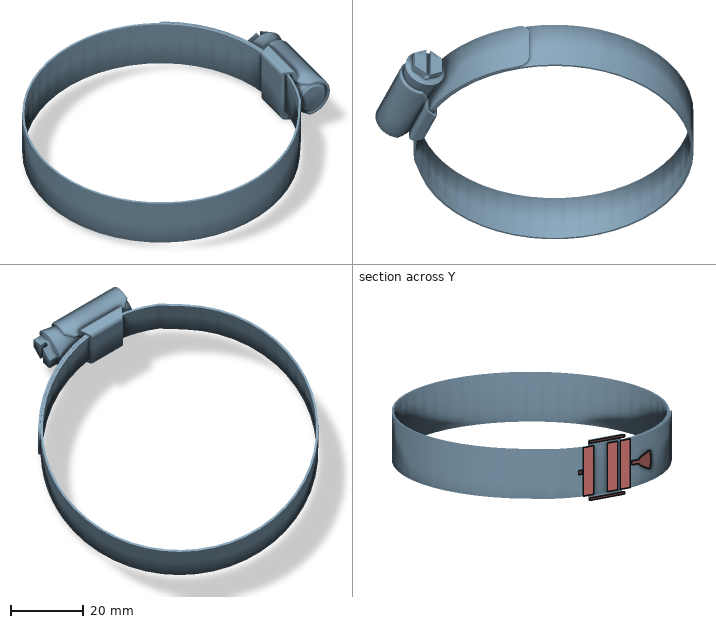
import cadquery as cq
import math


band_radius = 38.53
band_thickness = 0.6
band_width = 14.2
tail_gap = 0.05
tail_inside = band_radius + tail_gap
tail_radius = tail_inside + band_thickness
inner_end_angle = 90
tail_tip_angle = 150
seam_angle = 180
step_start_angle = 65.3
step_end_angle = 54.6
tip_corner_radius = 2.9

screw_axis_y = 43.28
arch_radius = 5.92
sheet = 0.8
housing_length = 21.0
strap_top_y = 40.3
strap_bottom_y = 36.4
strap_width = 17.3
strap_corner_radius = 1.1
arch_rim_fillet = 0.6
strap_top_half_length = 7.05
strap_bottom_half_length = 5.0
arch_end_y = 42.5
arch_foot_y = 40.6
arch_foot_half_length = 8.4
edge_margin = 0.05

worm_radius = 5.0
worm_end_chamfer = 1.0
collar_radius = 5.7
collar_front_x = -15.05
collar_rim_x = -14.35
hex_front_x = -17.4
hex_across_flats = 8.0
slot_width = 1.3
slot_depth = 1.8


def polar(radius, angle):
    a = math.radians(angle)
    return (radius * math.cos(a), radius * math.sin(a))


def add_arc(path, radius, start, end):
    """Continue the path around the clamp axis from the start angle to the end angle."""
    return path.threePointArc(polar(radius, (start + end) / 2), polar(radius, end))


def make_band():
    main_inside = band_radius - band_thickness
    step_end = step_end_angle + 360
    main_end = inner_end_angle

    path = cq.Workplane("XY").workplane(offset=-band_width / 2).moveTo(*polar(tail_radius, tail_tip_angle))
    path = add_arc(path, tail_radius, tail_tip_angle, step_start_angle)
    path = path.lineTo(*polar(band_radius, step_end_angle))
    path = add_arc(path, band_radius, step_end, seam_angle)
    path = add_arc(path, band_radius, seam_angle, main_end)
    path = path.lineTo(*polar(main_inside, main_end))
    path = add_arc(path, main_inside, main_end, seam_angle)
    path = add_arc(path, main_inside, seam_angle, step_end)
    path = path.lineTo(*polar(tail_inside, step_start_angle))
    path = add_arc(path, tail_inside, step_start_angle, tail_tip_angle)
    strip = path.close().extrude(band_width)

    tip = polar(tail_radius - band_thickness / 2, tail_tip_angle)
    short_edges = strip.faces(cq.selectors.NearestToPointSelector((*tip, 0))).edges("not |Z")
    return short_edges.fillet(tip_corner_radius)


def make_housing():
    strap_height = strap_top_y - strap_bottom_y
    strap_middle_y = (strap_top_y + strap_bottom_y) / 2
    bore_radius = arch_radius - sheet

    def sheet_cylinder(radius):
        return cq.Workplane("YZ").center(screw_axis_y, 0).circle(radius).extrude(housing_length / 2, both=True)

    def strap_block(height, width, corner_radius):
        block = cq.Workplane("YZ").center(strap_middle_y, 0).rect(height, width)
        return block.extrude(housing_length / 2, both=True).edges("|X").fillet(corner_radius)

    outside = sheet_cylinder(arch_radius).union(strap_block(strap_height, strap_width, strap_corner_radius))
    inner_height = strap_height - 2 * sheet
    inner_width = strap_width - 2 * sheet
    inside = sheet_cylinder(bore_radius).union(
        strap_block(inner_height, inner_width, strap_corner_radius - sheet)
    )
    housing = outside.cut(inside)

    half_length = housing_length / 2
    below = strap_bottom_y - strap_height
    taper = (
        cq.Workplane("XY")
        .workplane(offset=-strap_width)
        .moveTo(half_length, arch_end_y)
        .lineTo(arch_foot_half_length, arch_foot_y)
        .lineTo(strap_top_half_length, strap_top_y)
        .lineTo(strap_bottom_half_length, strap_bottom_y)
        .lineTo(strap_bottom_half_length, below)
        .lineTo(half_length, below)
        .close()
        .extrude(2 * strap_width)
    )
    housing = housing.cut(taper).cut(taper.mirror("YZ"))

    def is_rim(edge):
        point = edge.positionAt(0.5)
        distance = math.hypot(point.y - screw_axis_y, point.z)
        on_arch_surface = abs(distance - arch_radius) < edge_margin
        return on_arch_surface and abs(point.x) > arch_foot_half_length

    rims = [edge for edge in housing.edges().vals() if is_rim(edge)]
    return housing.newObject(rims).fillet(arch_rim_fillet)


def make_screw():
    half_length = housing_length / 2
    turned = (
        cq.Workplane("XY")
        .moveTo(collar_front_x, 0)
        .lineTo(collar_front_x, hex_across_flats / 2)
        .lineTo(collar_rim_x, collar_radius)
        .lineTo(-half_length, worm_radius)
        .lineTo(half_length - worm_end_chamfer, worm_radius)
        .lineTo(half_length, worm_radius - worm_end_chamfer)
        .lineTo(half_length, 0)
        .close()
        .revolve(360, (0, 0, 0), (1, 0, 0))
    )

    corner_diameter = hex_across_flats / math.cos(math.radians(30))
    hexagon = (
        cq.Workplane("YZ")
        .workplane(offset=hex_front_x)
        .transformed(rotate=(0, 0, 90))
        .polygon(6, corner_diameter)
        .extrude(collar_rim_x - hex_front_x)
    )
    slot = cq.Workplane("XY").box(slot_depth, slot_width, corner_diameter).translate(
        (hex_front_x + slot_depth / 2, 0, 0)
    )
    screw = turned.union(hexagon).cut(slot).translate((0, screw_axis_y, 0))

    band_hollow = cq.Workplane("XY").circle(tail_radius).extrude(band_width / 2, both=True)
    return screw.cut(band_hollow)


band = make_band()
housing = make_housing()
screw = make_screw()

result = cq.Compound.makeCompound([band.val(), housing.val(), screw.val()])